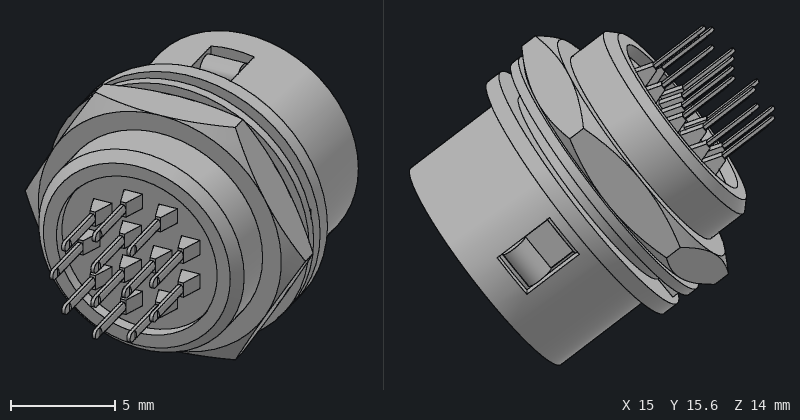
import cadquery as cq
import math


shell_radius = 5.95
shell_length = 5.5
flange_radius = 7.0
flange_thickness = 0.8
thread_radius = 5.5
thread_length = 5.7
end_chamfer = 0.5
recess_radius = 4.3
recess_depth = 0.6
shell_end_y = flange_thickness + shell_length
body_end_y = -thread_length
recess_floor_y = body_end_y + recess_depth

key_reach = 6.5
key_width = 2.5

panel_gap = 0.7
washer_thickness = 0.5
nut_sides = 6
nut_thickness = 2.0
nut_across_flats = 13.0
nut_chamfer_angle = 30.0
washer_y = -panel_gap
nut_y = washer_y - washer_thickness

window_width = 2.3
window_length = 3.2
window_setback = 1.6
window_floor_radius = 5.1
ledge_floor_radius = 5.2
ledge_length = 0.25
window_end_y = shell_end_y - window_setback
latch_width = 2.0
latch_setback = 1.8
latch_length = 2.75
latch_base_z = 4.5
bump_radius = 0.7
bump_apex_z = 5.83
latch_floor_z = bump_apex_z - bump_radius
latch_end_y = shell_end_y - latch_setback

outer_pin_count = 9
outer_pin_radius = 2.76
inner_pin_count = 3
inner_pin_radius = 1.1
first_outer_angle = 180.0
first_inner_angle = 0.0
socket_width = 1.0
socket_height = 0.8
shoulder_width = 0.28
shoulder_length = 0.5
blade_thickness = 0.18
blade_height = 0.52
blade_length = 3.1
rib_thickness = shoulder_width - blade_thickness
rib_setback = 0.5
shoulder_y = body_end_y - shoulder_length
pin_tip_y = shoulder_y - blade_length


def disc(radius, start_y, thickness):
    """Round disc on the Y axis, running from start_y towards -Y."""
    return cq.Workplane("XZ", origin=(0, start_y, 0)).circle(radius).extrude(thickness)


def make_body():
    """Shell, flange and chamfered threaded barrel with a recessed end face."""
    barrel = disc(thread_radius, 0, thread_length).faces("<Y").chamfer(end_chamfer)
    shell = disc(shell_radius, shell_end_y, shell_length)
    flange = disc(flange_radius, flange_thickness, flange_thickness)
    recess = disc(recess_radius, recess_floor_y, recess_depth)
    return shell.union(flange).union(barrel).cut(recess)


def make_key():
    """Flat-sided key filling the gap between flange and washer on the +X side."""
    block = (
        cq.Workplane("XY")
        .box(key_reach, panel_gap, key_width, centered=(False, False, True))
        .translate((0, washer_y, 0))
    )
    return block.cut(disc(recess_radius, 0, panel_gap))


def make_washer():
    """Plain ring between the key and the nut, as wide as the flange."""
    bore = disc(recess_radius, washer_y, washer_thickness)
    return disc(flange_radius, washer_y, washer_thickness).cut(bore)


def make_nut():
    """Hexagonal nut with both ends bevelled by a cone, corners on the X axis."""
    corner_radius = nut_across_flats / 2 / math.cos(math.pi / nut_sides)
    face_radius = nut_across_flats / 2
    bevel = (corner_radius - face_radius) * math.tan(math.radians(nut_chamfer_angle))
    nut_end_y = nut_y - nut_thickness
    hexagon = (
        cq.Workplane("XZ", origin=(0, nut_y, 0))
        .polygon(nut_sides, 2 * corner_radius)
        .extrude(nut_thickness)
    )
    envelope = (
        cq.Workplane("XY")
        .moveTo(0, nut_y)
        .lineTo(face_radius, nut_y)
        .lineTo(corner_radius, nut_y - bevel)
        .lineTo(corner_radius, nut_end_y + bevel)
        .lineTo(face_radius, nut_end_y)
        .lineTo(0, nut_end_y)
        .close()
        .revolve(360, (0, 0, 0), (0, 1, 0))
    )
    bore = disc(recess_radius, nut_y, nut_thickness)
    return hexagon.intersect(envelope).cut(bore)


def make_window():
    """Cutter for the +Z window: a cylindrical floor with a raised ledge at the -Y end."""
    ledge_y = window_end_y - window_length + ledge_length
    opening = (
        cq.Workplane("XY")
        .box(window_width, window_length, flange_radius, centered=(True, False, False))
        .translate((0, window_end_y - window_length, 0))
    )
    floor = disc(window_floor_radius, window_end_y, window_length)
    ledge = disc(ledge_floor_radius, ledge_y, ledge_length)
    return opening.cut(floor).cut(ledge)


def make_latch():
    """Spring latch in the +Z window: a flat strip with a half-round bump at its +Y end."""
    bump_y = latch_end_y - bump_radius
    bump_foot_y = bump_y - bump_radius
    slant = bump_radius * math.sqrt(0.5)
    return (
        cq.Workplane("YZ", origin=(-latch_width / 2, 0, 0))
        .moveTo(latch_end_y, latch_base_z)
        .lineTo(latch_end_y, latch_floor_z)
        .threePointArc((bump_y + slant, latch_floor_z + slant), (bump_y, bump_apex_z))
        .threePointArc((bump_y - slant, latch_floor_z + slant), (bump_foot_y, latch_floor_z))
        .lineTo(latch_end_y - latch_length, latch_floor_z)
        .lineTo(latch_end_y - latch_length, latch_base_z)
        .close()
        .extrude(latch_width)
    )


def make_pin():
    """Contact on the Y axis: tapered base, round-ended blade and a rib on its +X side."""
    base = (
        cq.Workplane("XY")
        .moveTo(-socket_width / 2, recess_floor_y)
        .lineTo(socket_width / 2, recess_floor_y)
        .lineTo(shoulder_width / 2, shoulder_y)
        .lineTo(-shoulder_width / 2, shoulder_y)
        .close()
        .extrude(socket_height / 2, both=True)
    )
    half_height = blade_height / 2
    blade_x = -shoulder_width / 2
    rib_x = blade_x + blade_thickness
    round_start_y = pin_tip_y + half_height
    blade = (
        cq.Workplane("YZ", origin=(blade_x, 0, 0))
        .moveTo(shoulder_y, half_height)
        .lineTo(round_start_y, half_height)
        .threePointArc((pin_tip_y, 0), (round_start_y, -half_height))
        .lineTo(shoulder_y, -half_height)
        .close()
        .extrude(blade_thickness)
    )
    rib = (
        cq.Workplane("XZ", origin=(0, shoulder_y, 0))
        .moveTo(rib_x, -half_height)
        .threePointArc((rib_x + rib_thickness, 0), (rib_x, half_height))
        .close()
        .extrude(blade_length - rib_setback)
    )
    return base.union(blade).union(rib)


def pin_places(count, radius, first_angle):
    """X and Z of evenly spaced contacts on a circle."""
    angles = [math.radians(first_angle + 360 * i / count) for i in range(count)]
    return [(radius * math.cos(a), radius * math.sin(a)) for a in angles]


result = make_body().union(make_key()).union(make_washer()).union(make_nut())

window = make_window()
latch = make_latch()
for turn in (0, 180):
    result = result.cut(window.rotate((0, 0, 0), (0, 1, 0), turn))
    result = result.union(latch.rotate((0, 0, 0), (0, 1, 0), turn))

pin = make_pin()
outer_places = pin_places(outer_pin_count, outer_pin_radius, first_outer_angle)
inner_places = pin_places(inner_pin_count, inner_pin_radius, first_inner_angle)
for x, z in outer_places + inner_places:
    result = result.union(pin.translate((x, 0, z)))